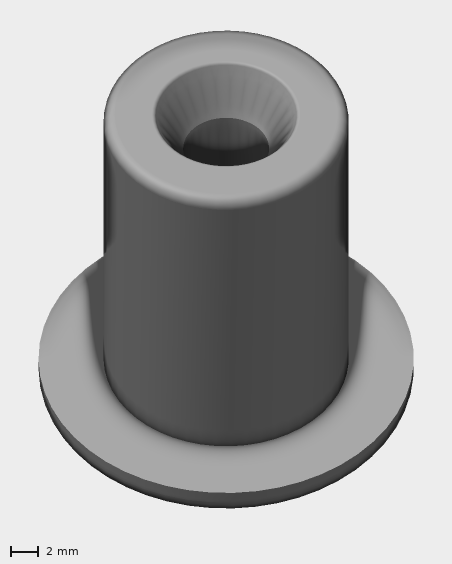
import math

import cadquery as cq

total_height = 27.95
flange_diameter = 27.19
flange_thickness = 2.51
flange_fillet = 1.5
body_diameter = 17.77
body_fillet = 0.8

bore_bottom_diameter = 5.9
bore_top_diameter = 6.23
mouth_diameter = 10.4
mouth_angle = 60.0
mouth_fillet = 0.3


def make_flange():
    """Disc with a rounded lower edge."""
    disc = cq.Workplane("XY").circle(flange_diameter / 2).extrude(flange_thickness)
    return disc.faces("<Z").edges().fillet(flange_fillet)


def make_body():
    """Cylinder with a rounded upper edge."""
    cylinder = cq.Workplane("XY").circle(body_diameter / 2).extrude(total_height)
    return cylinder.faces(">Z").edges().fillet(body_fillet)


def make_bore():
    """Revolved cutter: tapered bore opening into a conical mouth."""
    bore_top_radius = bore_top_diameter / 2
    mouth_radius = mouth_diameter / 2
    mouth_depth = (mouth_radius - bore_top_radius) / math.tan(math.radians(mouth_angle / 2))
    profile = (
        cq.Workplane("XZ")
        .lineTo(bore_bottom_diameter / 2, 0)
        .lineTo(bore_top_radius, total_height - mouth_depth)
        .lineTo(mouth_radius, total_height)
        .lineTo(0, total_height)
        .close()
    )
    return profile.revolve(360, (0, 0, 0), (0, 1, 0))


bushing = make_flange().union(make_body()).cut(make_bore())

mouth_rim = bushing.faces(">Z").edges(cq.selectors.RadiusNthSelector(0))
result = mouth_rim.fillet(mouth_fillet)